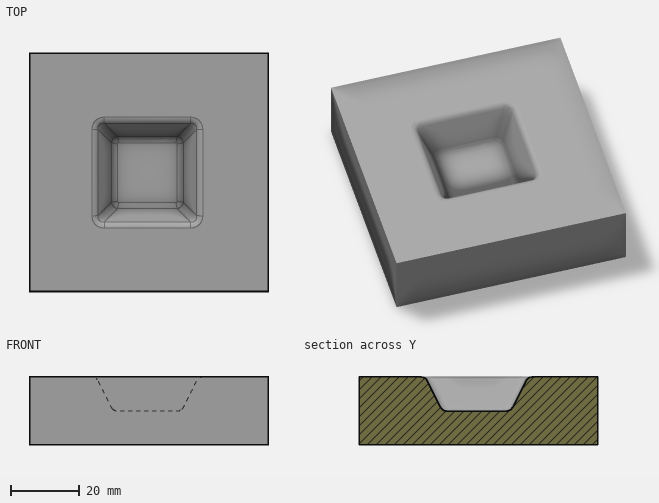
import cadquery as cq

block_side = 70.0
block_height = 20.0

pocket_depth = block_height / 2
floor_side = 20.0
mouth_side = 30.0
pocket_center_x = -0.55
edge_radius = 2.0


def make_block():
    block = cq.Workplane("XY").box(block_side, block_side, block_height)
    return block.translate((0, 0, -block_height / 2))


def make_pocket():
    """Square frustum with rounded slanted corners and a rounded floor edge."""
    frustum = (
        cq.Workplane("XY", origin=(pocket_center_x, 0, 0))
        .rect(mouth_side, mouth_side)
        .workplane(offset=-pocket_depth)
        .rect(floor_side, floor_side)
        .loft(ruled=True)
    )
    rounded_corners = frustum.edges("not #Z").fillet(edge_radius)
    return rounded_corners.faces("<Z").edges().fillet(edge_radius)


def round_mouth(body):
    """Round the rim where the pocket meets the top face."""
    rim = body.faces(">Z").val().innerWires()[0]
    return body.newObject(rim.Edges()).fillet(edge_radius)


result = round_mouth(make_block().cut(make_pocket()))